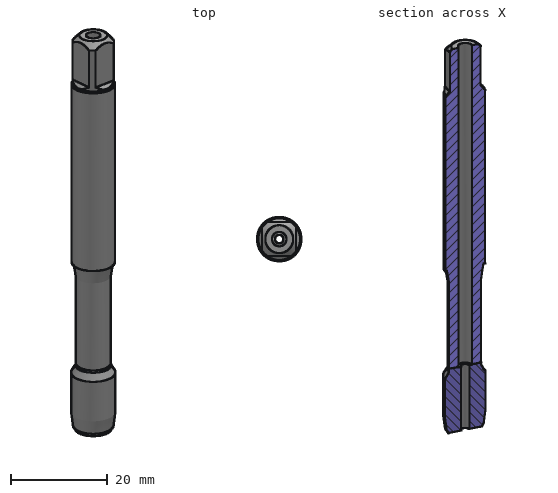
import cadquery as cq

total_length = 90.0
lead_chamfer_top = 0.8
lead_taper_top = 3.8
thread_top = 12.9
head_cone_top = 14.5
head_top = 15.0
neck_top = 34.9
shank_bottom = 38.2
shank_top = 79.2
square_bottom = 80.1

shank_diameter = 9.0
head_diameter = 9.2
lead_diameter = 8.5
tip_diameter = 7.5
neck_diameter = 7.3
neck_cone_diameter = 8.3
drive_diameter = 8.6
shank_bore_diameter = 3.0
head_bore_diameter = 1.7

square_width = 7.0
drive_chamfer = 1.4
shank_chamfer_height = 0.4


def revolve_profile(stations):
    """Revolve (diameter, height) stations, listed upward, into a solid about Z."""
    outline = [(diameter / 2, height) for diameter, height in stations]
    bottom = stations[0][1]
    top = stations[-1][1]
    points = [(0, bottom)] + outline + [(0, top)]
    return cq.Workplane("XZ").polyline(points).close().revolve(360, (0, 0), (0, 1))


def bore(diameter, bottom, top):
    """Coaxial cylinder used to cut a bore between two heights."""
    return cq.Workplane("XY").workplane(offset=bottom).circle(diameter / 2).extrude(top - bottom)


def flat_cutter():
    """Side cutter for one drive flat, with a 45 degree run-out into the shank."""
    inner = square_width / 2
    outer = shank_diameter
    runout_bottom = square_bottom - (outer - inner)
    return (
        cq.Workplane("XZ")
        .polyline([(inner, total_length), (inner, square_bottom), (outer, runout_bottom), (outer, total_length)])
        .close()
        .extrude(shank_diameter / 2, both=True)
    )


def make_shank():
    """Shank with a reduced neck below and a square drive above."""
    shank = revolve_profile([
        (neck_diameter, head_top),
        (neck_diameter, neck_top),
        (neck_cone_diameter, shank_bottom),
        (shank_diameter, shank_bottom),
        (shank_diameter, shank_top - shank_chamfer_height),
        (drive_diameter, shank_top),
        (drive_diameter, total_length - drive_chamfer),
        (drive_diameter - 2 * drive_chamfer, total_length),
    ])
    for side in range(4):
        shank = shank.cut(flat_cutter().rotate((0, 0, 0), (0, 0, 1), 90 * side))
    return shank.cut(bore(shank_bore_diameter, head_top, total_length))


def make_cutting_head():
    """Thread-diameter head with a tapered lead and a cone up to the neck."""
    head = revolve_profile([
        (tip_diameter, 0),
        (lead_diameter, lead_chamfer_top),
        (head_diameter, lead_taper_top),
        (head_diameter, thread_top),
        (neck_diameter, head_cone_top),
        (neck_diameter, head_top),
    ])
    return head.cut(bore(head_bore_diameter, 0, head_top))


shank = make_shank()
cutting_head = make_cutting_head()

result = cq.Compound.makeCompound([shank.val(), cutting_head.val()])